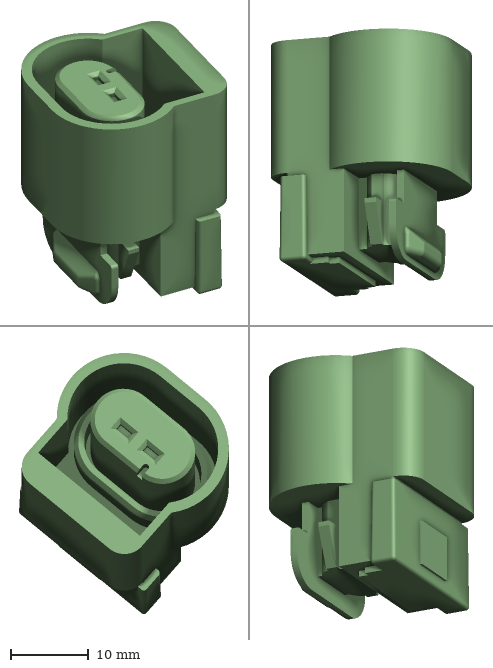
import cadquery as cq
import math

TOTAL_HEIGHT = 29.32
SHROUD_BOTTOM = 11.8
FLOOR_TOP = 13.5

OVAL_OFFSET = 3.2
OVAL_RADIUS = 8.62
NECK_HALF_WIDTH = 9.65
NECK_BACK = 14.5
NECK_CORNER_RADIUS = 2.93

CAVITY_RADIUS = 7.25
CAVITY_NECK_HALF_WIDTH = 8.55
CAVITY_NECK_BACK = 10.67
CAVITY_NARROWING = 0.12

INNER_OFFSET = 3.28
COLLAR_RADIUS = 6.35
COLLAR_BORE_RADIUS = 5.0
COLLAR_BORE_DRAFT = 2.5
COLLAR_TOP = 17.6
COLLAR_BEVEL = 0.6
PLUG_RADIUS = 4.22
PLUG_TOP = 28.24
PLUG_BEVEL_WIDTH = 0.55
PLUG_BEVEL_HEIGHT = 0.45

OPENING_X = 2.23
OPENING_Y = 1.03
OPENING_SIZE = (3.08, 1.95)
CONTACT_HOLE_SIZE = (2.0, 0.88)
OPENING_DEPTH = 0.45
CONTACT_HOLE_DEPTH = 1.03
KEYWAY_X = -3.02
KEYWAY_WIDTH = 0.85
KEYWAY_END_Y = 2.55
KEYWAY_DEPTH = 1.75

BLOCK_FRONT = 3.75
BLOCK_BACK = 11.67
BLOCK_BOTTOM = 0.8
BLOCK_CORNER_RADIUS = 0.45

CLIP_HALF_WIDTH = 10.67
CLIP_FRONT = 8.68
CLIP_BACK = 12.29
CLIP_TOP = 11.17
CLIP_EDGE_RADIUS = 0.47
CLIP_DRAFT = 0.6
FOOT_STEPS = ((7.77, 6.57), (6.98, 5.3))
PAD_HALF_WIDTH = 3.52
PAD_BACK = 12.6
PAD_BOTTOM = 1.67
PAD_TOP = 7.62

CORE_BOTTOM = 2.37
CORE_CENTRE_Y = 0.47
CORE_OFFSET = 2.93
CORE_RADIUS = 2.35
WEB_HALF_WIDTH = 3.78
WING_HALF_SPAN = 8.03
WING_FRONT = -0.05
WING_BACK = 1.5
WING_TOP = 8.03
WING_EDGE_BOTTOM = 7.42
WING_ROOT_X = 5.8
RIB_HALF_SPAN = 5.45

PLATE_FRONT = -3.28
PLATE_BACK = -2.32
PLATE_HALF_WIDTH = 9.53
PLATE_SHOULDER = 7.35
PLATE_NECK_HALF_WIDTH = 6.4
PLATE_BOTTOM_RADIUS = 4.02
PLATE_SHOULDER_RADIUS = 0.45

GRIP_HALF_WIDTH = 6.2
GRIP_TIP_HALF_WIDTH = 3.35
GRIP_TIP = -4.98
GRIP_ROOT = -2.65
GRIP_SIDE_DEPTH = 0.45
GRIP_BOTTOM = 0.8
GRIP_TOP = 4.45
GRIP_TIP_TOP = 2.75
GRIP_SIDE_RADIUS = 0.6
GRIP_BOTTOM_RADIUS = 0.88
GRIP_TOP_RADIUS = 0.73


def box(x_min, x_max, y_min, y_max, z_min, z_max):
    size = (x_max - x_min, y_max - y_min, z_max - z_min)
    return cq.Workplane("XY").box(*size, centered=False).translate((x_min, y_min, z_min))


def centred_box(half_width, y_min, y_max, z_min, z_max):
    return box(-half_width, half_width, y_min, y_max, z_min, z_max)


def oval(offset, radius, z_min, z_max, centre_y=0):
    sketch = cq.Workplane("XY", origin=(0, centre_y, z_min))
    return sketch.slot2D(2 * (offset + radius), 2 * radius).extrude(z_max - z_min)


def necked_wire(radius, half_width, back, z):
    """Oval outline whose rear runs into a straight-sided neck."""
    join_y = math.sqrt(radius**2 - (half_width - OVAL_OFFSET) ** 2)
    side_x = OVAL_OFFSET + radius
    return (
        cq.Workplane("XY", origin=(0, 0, z))
        .moveTo(-OVAL_OFFSET, -radius)
        .lineTo(OVAL_OFFSET, -radius)
        .threePointArc((side_x, 0), (half_width, join_y))
        .lineTo(half_width, back)
        .lineTo(-half_width, back)
        .lineTo(-half_width, join_y)
        .threePointArc((-side_x, 0), (-OVAL_OFFSET, -radius))
        .close()
    )


def make_shroud():
    outline = necked_wire(OVAL_RADIUS, NECK_HALF_WIDTH, NECK_BACK, SHROUD_BOTTOM)
    shell = outline.extrude(TOTAL_HEIGHT - SHROUD_BOTTOM)
    shell = shell.edges("|Z and >Y").fillet(NECK_CORNER_RADIUS)
    cavity_ends = [
        necked_wire(
            CAVITY_RADIUS - narrowing,
            CAVITY_NECK_HALF_WIDTH - narrowing,
            CAVITY_NECK_BACK - narrowing,
            z,
        ).val()
        for narrowing, z in ((CAVITY_NARROWING, FLOOR_TOP), (0, TOTAL_HEIGHT))
    ]
    return shell.cut(cq.Workplane(cq.Solid.makeLoft(cavity_ends, True)))


def make_plug():
    plug = oval(INNER_OFFSET, PLUG_RADIUS, FLOOR_TOP, PLUG_TOP)
    plug = plug.faces(">Z").chamfer(PLUG_BEVEL_HEIGHT, PLUG_BEVEL_WIDTH)
    for x in (-OPENING_X, OPENING_X):
        mouth = cq.Workplane("XY", origin=(x, OPENING_Y, PLUG_TOP))
        funnel = (
            mouth.rect(*OPENING_SIZE)
            .workplane(offset=-OPENING_DEPTH)
            .rect(*CONTACT_HOLE_SIZE)
            .loft(ruled=True)
        )
        hole = mouth.rect(*CONTACT_HOLE_SIZE).extrude(-CONTACT_HOLE_DEPTH)
        plug = plug.cut(funnel).cut(hole)
    end_radius = KEYWAY_WIDTH / 2
    end_y = KEYWAY_END_Y + end_radius
    keyway_bottom = PLUG_TOP - KEYWAY_DEPTH
    left = KEYWAY_X - end_radius
    keyway = box(left, left + KEYWAY_WIDTH, end_y, PLUG_RADIUS, keyway_bottom, PLUG_TOP)
    keyway_end = cq.Workplane("XY", origin=(KEYWAY_X, end_y, keyway_bottom)).circle(end_radius)
    keyway = keyway.union(keyway_end.extrude(KEYWAY_DEPTH))
    return plug.cut(keyway)


def make_collar():
    collar = oval(INNER_OFFSET, COLLAR_RADIUS, FLOOR_TOP, COLLAR_TOP)
    collar = collar.faces(">Z").chamfer(COLLAR_BEVEL)
    bore = (
        cq.Workplane("XY", origin=(0, 0, COLLAR_TOP))
        .slot2D(2 * (INNER_OFFSET + COLLAR_BORE_RADIUS), 2 * COLLAR_BORE_RADIUS)
        .extrude(FLOOR_TOP - COLLAR_TOP, taper=COLLAR_BORE_DRAFT)
    )
    return collar.cut(bore)


def make_rear_block():
    block = centred_box(NECK_HALF_WIDTH, BLOCK_FRONT, BLOCK_BACK, BLOCK_BOTTOM, SHROUD_BOTTOM)
    return block.edges("|Z and >Y").fillet(BLOCK_CORNER_RADIUS)


def make_clip():
    centre_y = (CLIP_FRONT + CLIP_BACK) / 2
    clip = (
        cq.Workplane("XY", origin=(0, centre_y, 0))
        .rect(2 * CLIP_HALF_WIDTH, CLIP_BACK - CLIP_FRONT)
        .extrude(CLIP_TOP, taper=CLIP_DRAFT)
    )
    clip = clip.edges("not >Z").fillet(CLIP_EDGE_RADIUS)
    for half_width, front in FOOT_STEPS:
        clip = clip.union(centred_box(half_width, front, BLOCK_BACK, 0, BLOCK_BOTTOM))
    return clip.union(centred_box(PAD_HALF_WIDTH, BLOCK_BACK, PAD_BACK, PAD_BOTTOM, PAD_TOP))


def make_core():
    core = oval(CORE_OFFSET, CORE_RADIUS, CORE_BOTTOM, SHROUD_BOTTOM, CORE_CENTRE_Y)
    web = centred_box(WEB_HALF_WIDTH, PLATE_BACK, BLOCK_FRONT, CORE_BOTTOM, SHROUD_BOTTOM)
    wings = (
        cq.Workplane("XZ", origin=(0, WING_BACK, 0))
        .polyline([
            (WING_ROOT_X, CORE_BOTTOM),
            (WING_HALF_SPAN, WING_EDGE_BOTTOM),
            (WING_HALF_SPAN, WING_TOP),
            (-WING_HALF_SPAN, WING_TOP),
            (-WING_HALF_SPAN, WING_EDGE_BOTTOM),
            (-WING_ROOT_X, CORE_BOTTOM),
        ])
        .close()
        .extrude(WING_BACK - WING_FRONT)
    )
    rib = centred_box(RIB_HALF_SPAN, WING_FRONT, WING_BACK, CORE_BOTTOM, SHROUD_BOTTOM)
    return core.union(web).union(wings).union(rib)


def make_latch_plate():
    plate = centred_box(PLATE_HALF_WIDTH, PLATE_FRONT, PLATE_BACK, 0, PLATE_SHOULDER)
    plate = plate.edges("|Y and <Z").fillet(PLATE_BOTTOM_RADIUS)
    plate = plate.edges("|Y and >Z").fillet(PLATE_SHOULDER_RADIUS)
    neck = centred_box(
        PLATE_NECK_HALF_WIDTH, PLATE_FRONT, PLATE_BACK, PLATE_BOTTOM_RADIUS, SHROUD_BOTTOM
    )
    return plate.union(neck)


def make_grip():
    side_y = PLATE_FRONT - GRIP_SIDE_DEPTH
    slope = (GRIP_TOP - GRIP_TIP_TOP) / (PLATE_FRONT - GRIP_TIP)
    root_top = GRIP_TOP + slope * (GRIP_ROOT - PLATE_FRONT)
    plan = [
        (-GRIP_HALF_WIDTH, GRIP_ROOT),
        (-GRIP_HALF_WIDTH, side_y),
        (-GRIP_TIP_HALF_WIDTH, GRIP_TIP),
        (GRIP_TIP_HALF_WIDTH, GRIP_TIP),
        (GRIP_HALF_WIDTH, side_y),
        (GRIP_HALF_WIDTH, GRIP_ROOT),
    ]
    profile = [
        (GRIP_ROOT, GRIP_BOTTOM),
        (GRIP_TIP, GRIP_BOTTOM),
        (GRIP_TIP, GRIP_TIP_TOP),
        (GRIP_ROOT, root_top),
    ]
    grip = cq.Workplane("XY").polyline(plan).close().extrude(root_top)
    side_profile = cq.Workplane("YZ").polyline(profile).close()
    grip = grip.intersect(side_profile.extrude(GRIP_HALF_WIDTH, both=True))
    grip = grip.edges("|Z").edges("not >Y").fillet(GRIP_SIDE_RADIUS)
    grip = grip.faces("<Z").edges("not >Y").fillet(GRIP_BOTTOM_RADIUS)
    return grip.faces(">Z").edges("not >Y").fillet(GRIP_TOP_RADIUS)


result = make_shroud()
for feature in (
    make_plug(),
    make_collar(),
    make_rear_block(),
    make_clip(),
    make_core(),
    make_latch_plate(),
    make_grip(),
):
    result = result.union(feature)